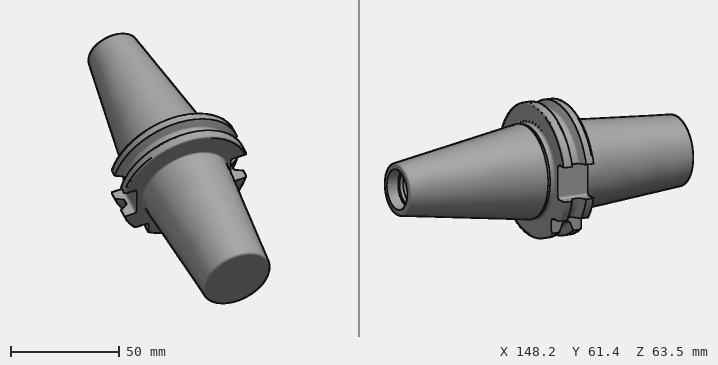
import cadquery as cq
import math

gauge_radius = 22.2
taper_ratio = 7 / 24
nose_x = -68.3
shank_end_x = nose_x + 148.2
nose_fillet = 1.0

taper_end_x = -0.9
taper_end_radius = 22.4
neck_start_x = 0.5
neck_radius = 22.0
neck_fillet = 1.3

flange_start_x = 3.1
flange_end_x = 19.0
flange_radius = 31.77
flange_edge_fillet = 0.9
groove_x = 11.0
groove_floor_radius = 28.2
groove_floor_half_width = 1.6
groove_flank_angle = 30.0
groove_fillet = 0.96

shank_root_radius = 21.3
shank_fillet = 0.7
shank_taper_x = 22.4
shank_end_radius = 16.8
shank_edge_fillet = 1.2

slot_half_height = 8.23
slot_floor_front = 24.6
slot_floor_back = 22.5
slot_fillet = 1.3
notch_wall = 18.5
notch_fillet = 1.3

bore_mouth_radius = 9.5
counterbore_radius = 9.0
thread_radius = 8.2
seat_radius = 7.7
drill_radius = 7.0
mouth_depth = 2.1
counterbore_depth = 5.6
thread_start_depth = 6.0
thread_end_depth = 7.9
seat_depth = 8.5
drill_start_depth = 10.2
drill_end_depth = 35.6
drill_tip_angle = 118.0


def revolve_profile(points):
    """Revolve (x, radius) points, closed along the X axis."""
    outline = cq.Workplane("XY").polyline(points).close()
    return outline.revolve(360, (0, 0, 0), (1, 0, 0))


def make_taper():
    nose_radius = gauge_radius + nose_x * taper_ratio / 2
    taper = revolve_profile([
        (nose_x, 0),
        (nose_x, nose_radius),
        (taper_end_x, taper_end_radius),
        (neck_start_x, neck_radius),
        (flange_start_x, neck_radius),
        (flange_start_x, 0),
    ])
    return taper.edges("<X").fillet(nose_fillet)


def make_root_fillet(face_x, radius, size, direction):
    """Concave fillet ring between a flange face and the round body beside it."""
    side_x = face_x + direction * size
    bulge = size * (1 - math.sqrt(0.5))
    outline = (
        cq.Workplane("XY")
        .moveTo(face_x, radius - size)
        .lineTo(face_x, radius + size)
        .threePointArc((face_x + direction * bulge, radius + bulge), (side_x, radius))
        .lineTo(side_x, radius - size)
        .close()
    )
    return outline.revolve(360, (0, 0, 0), (1, 0, 0))


def make_flange():
    width = flange_end_x - flange_start_x
    flange = cq.Workplane("YZ", origin=(flange_start_x, 0, 0)).circle(flange_radius).extrude(width)
    flange = flange.edges("<X or >X").fillet(flange_edge_fillet)
    depth = flange_radius - groove_floor_radius
    top_half_width = groove_floor_half_width + depth * math.tan(math.radians(groove_flank_angle))
    groove = revolve_profile([
        (groove_x - groove_floor_half_width, groove_floor_radius),
        (groove_x - top_half_width, flange_radius),
        (groove_x + top_half_width, flange_radius),
        (groove_x + groove_floor_half_width, groove_floor_radius),
    ])
    floor_edges = cq.selectors.RadiusNthSelector(0)
    return flange.cut(groove.edges("%CIRCLE").edges(floor_edges).fillet(groove_fillet))


def flange_cutter(y_inner, y_outer, z_low, z_high):
    """Block through the full flange width."""
    width = flange_end_x - flange_start_x
    return cq.Workplane("XY").box(width, y_outer - y_inner, z_high - z_low, centered=False).translate(
        (flange_start_x, y_inner, z_low)
    )


def cut_drive_slots(flange):
    front = flange_cutter(-flange_radius, -slot_floor_front, -slot_half_height, slot_half_height)
    back = flange_cutter(slot_floor_back, flange_radius, -slot_half_height, slot_half_height)
    front = front.edges("|X and >Y").fillet(slot_fillet)
    back = back.edges("|X and <Y").fillet(slot_fillet)
    return flange.cut(front).cut(back)


def cut_notch(flange):
    notch = flange_cutter(-flange_radius, -notch_wall, -flange_radius, -notch_wall)
    return flange.cut(notch.edges("|X and >Y and >Z").fillet(notch_fillet))


def make_shank():
    shank = revolve_profile([
        (flange_end_x, 0),
        (flange_end_x, shank_root_radius),
        (shank_taper_x, shank_root_radius),
        (shank_end_x, shank_end_radius),
        (shank_end_x, 0),
    ])
    return shank.edges(">X").fillet(shank_edge_fillet)


def make_bore():
    tip_length = drill_radius / math.tan(math.radians(drill_tip_angle / 2))
    return revolve_profile([
        (nose_x, 0),
        (nose_x, bore_mouth_radius),
        (nose_x + mouth_depth, counterbore_radius),
        (nose_x + counterbore_depth, counterbore_radius),
        (nose_x + thread_start_depth, thread_radius),
        (nose_x + thread_end_depth, thread_radius),
        (nose_x + seat_depth, seat_radius),
        (nose_x + drill_start_depth, drill_radius),
        (nose_x + drill_end_depth, drill_radius),
        (nose_x + drill_end_depth + tip_length, 0),
    ])


flange = cut_notch(cut_drive_slots(make_flange()))
neck_ring = make_root_fillet(flange_start_x, neck_radius, neck_fillet, -1)
shank_ring = make_root_fillet(flange_end_x, shank_root_radius, shank_fillet, 1)
body = make_taper().union(flange).union(make_shank()).union(neck_ring).union(shank_ring)
result = body.cut(make_bore())